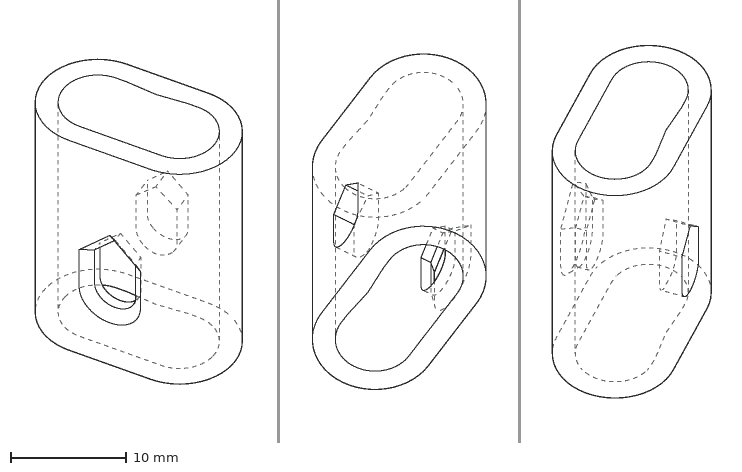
import cadquery as cq
import math

height = 25
width = 18.9
depth = 10.9
wall = 2
bore_width = width - 2 * wall
bore_depth = depth - 2 * wall

ridge_half_width = 3
ridge_height = 0.25

window_radius = 2
window_side = 4
window_center_z = 8
chamfer = 1


def make_sleeve():
    outer = cq.Workplane("XY").slot2D(width, depth).extrude(height)
    bore = cq.Workplane("XY").slot2D(bore_width, bore_depth).extrude(height)
    return outer.cut(bore)


def make_ridge():
    bore_y = bore_depth / 2
    base_y = bore_y + wall / 2
    return (
        cq.Workplane("XY")
        .moveTo(-ridge_half_width, base_y)
        .lineTo(-ridge_half_width, bore_y)
        .lineTo(0, bore_y - ridge_height)
        .lineTo(ridge_half_width, bore_y)
        .lineTo(ridge_half_width, base_y)
        .close()
        .extrude(height)
    )


def draw_window(plane, offset):
    """Window outline enlarged evenly by offset, with a right-angled point."""
    radius = window_radius + offset
    shoulder = window_side + offset * math.tan(math.radians(22.5))
    return (
        plane
        .moveTo(-radius, 0)
        .threePointArc((0, -radius), (radius, 0))
        .lineTo(radius, shoulder)
        .lineTo(0, shoulder + radius)
        .lineTo(-radius, shoulder)
        .close()
    )


def make_window():
    front = cq.Workplane("XZ", origin=(0, -depth / 2, window_center_z))
    passage = draw_window(front, 0).extrude(-depth)
    mouth_outline = draw_window(front, chamfer)
    mouth = draw_window(mouth_outline.workplane(offset=-chamfer), 0).loft(ruled=True)
    return passage.union(mouth)


result = make_sleeve().union(make_ridge()).cut(make_window())